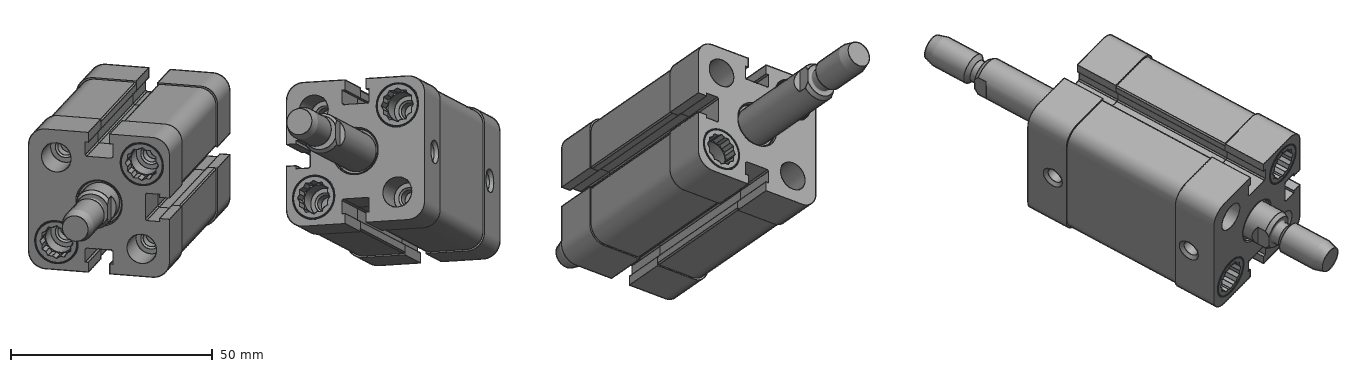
import cadquery as cq
import math


OVERALL_LENGTH = 122.1

CAP_SIDE = 36.3
CAP_LENGTH = 11.8
TUBE_LENGTH = 33.5
TUBE_INSET = 0.4
CORNER_RADIUS = 4.4
CAP_WALL = CAP_SIDE / 2
TUBE_SIDE = CAP_SIDE - 2 * TUBE_INSET
HOUSING_LENGTH = 2 * CAP_LENGTH + TUBE_LENGTH

SLOT_MOUTH_WIDTH = 5.5
SLOT_WIDTH = 7.1
SLOT_LIP = 2.6
SLOT_DEPTH = 6.2
SLOT_CORNER_CHAMFER = 0.4
TUBE_MOUTH_CHAMFER = 0.4
SLOT_ANGLES = (0, 90, 180)

CORNER_OFFSET = 11.0
PLAIN_HOLE_DIAMETER = 7.6
CORNER_HOLE_DEPTH = 8.5
HEAD_DIAMETER = 10.9
HEAD_RIM_DIAMETER = 10.5
HEAD_HOLE_DIAMETER = 11.1
HEAD_GAP_DEPTH = 0.7
SOCKET_ACROSS_FLATS = 7.3
SOCKET_DEPTH = 3.7
SCREW_BORE_DIAMETER = 7.5
CORE_DIAMETER = 4.2
CORE_RIM_DIAMETER = 5.1

PORT_DIAMETER = 4.2
PORT_RIM_DIAMETER = 5.9
PORT_FROM_FACE = 7.7

ROD_DIAMETER = 10.0
FRONT_REACH = 22.5
REAR_REACH = OVERALL_LENGTH - HOUSING_LENGTH - FRONT_REACH
SHOULDER_TO_TIP = 15.9
SHOULDER_BEVEL_LENGTH = 1.1
SHOULDER_BEVEL_DROP = 0.7
NECK_DIAMETER = 5.9
NECK_FILLET = 0.4
THREAD_DIAMETER = 8.0
THREAD_TO_TIP = 12.6
TIP_LENGTH = 2.7
TIP_DIAMETER = 6.6
FLAT_SPAN = 7.9
FLAT_LENGTH = 3.4

RECESS_DIAMETER = 11.4
RECESS_RIM_DIAMETER = 12.0
RECESS_DEPTH = 1.2


def revolve_about_y(profile):
    """Solid of revolution about the Y axis from (radius, y) points."""
    return cq.Workplane("XY").polyline(profile).close().revolve(360, (0, 0, 0), (0, 1, 0))


def flared_hole(diameter, rim_diameter, depth):
    """Hole cutter from Y = 0 along +Y with a 45 degree flare at its mouth."""
    radius = diameter / 2
    rim_radius = rim_diameter / 2
    flare = rim_radius - radius
    return revolve_about_y([(0, 0), (rim_radius, 0), (radius, flare), (radius, depth), (0, depth)])


def straight_hole(diameter, depth):
    """Hole cutter from Y = 0 along +Y."""
    return cq.Workplane("XZ").circle(diameter / 2).extrude(-depth)


def rounded_bar(side, length):
    """Square bar from Y = 0 along +Y with its four long edges rounded."""
    return cq.Workplane("XZ").rect(side, side).extrude(-length).edges("|Y").fillet(CORNER_RADIUS)


def slot_cutter(length):
    """T-slot cutter for the top wall, with bevelled floor corners."""
    floor = CAP_WALL - SLOT_DEPTH
    lip = CAP_WALL - SLOT_LIP
    half_mouth = SLOT_MOUTH_WIDTH / 2
    half_width = SLOT_WIDTH / 2
    right_side = [
        (half_mouth, CAP_WALL),
        (half_mouth, lip),
        (half_width, lip),
        (half_width, floor + SLOT_CORNER_CHAMFER),
        (half_width - SLOT_CORNER_CHAMFER, floor),
    ]
    left_side = [(-x, z) for x, z in reversed(right_side)]
    return cq.Workplane("XZ").polyline(right_side + left_side).close().extrude(-length)


def mouth_bevel_cutter(length):
    """Cutter that bevels both edges of the slot mouth in the top wall of the tube."""
    top = TUBE_SIDE / 2
    bottom = top - TUBE_MOUTH_CHAMFER
    half_bottom = SLOT_MOUTH_WIDTH / 2
    half_top = half_bottom + TUBE_MOUTH_CHAMFER
    outline = [(-half_top, top), (half_top, top), (half_bottom, bottom), (-half_bottom, bottom)]
    return cq.Workplane("XZ").polyline(outline).close().extrude(-length)


def cut_on_slot_walls(body, cutter):
    """Apply a top wall cutter to every wall that has a sensor slot."""
    for angle in SLOT_ANGLES:
        body = body.cut(cutter.rotate((0, 0, 0), (0, 1, 0), angle))
    return body


def corner_hole(diameter):
    """Corner hole that narrows to a core hole running on to the inner cap face."""
    core = flared_hole(CORE_DIAMETER, CORE_RIM_DIAMETER, CAP_LENGTH - CORNER_HOLE_DEPTH)
    return straight_hole(diameter, CORNER_HOLE_DEPTH).union(core.translate((0, CORNER_HOLE_DEPTH, 0)))


def twelve_point_socket():
    """Socket cutter made of two hexagons, one of them turned by 30 degrees."""
    across_corners = SOCKET_ACROSS_FLATS / math.cos(math.radians(30))
    hexagon = cq.Workplane("XZ").polygon(6, across_corners).extrude(-SOCKET_DEPTH)
    return hexagon.union(hexagon.rotate((0, 0, 0), (0, 1, 0), 30))


def screw_head():
    """Cutter for a flush screw head: bevelled rim with a thin gap around it, socket and bore."""
    rim_radius = HEAD_RIM_DIAMETER / 2
    head_radius = HEAD_DIAMETER / 2
    hole_radius = HEAD_HOLE_DIAMETER / 2
    rim_gap = revolve_about_y([
        (rim_radius, 0),
        (hole_radius, 0),
        (hole_radius, HEAD_GAP_DEPTH),
        (head_radius, HEAD_GAP_DEPTH),
        (head_radius, head_radius - rim_radius),
    ])
    return corner_hole(SCREW_BORE_DIAMETER).union(twelve_point_socket()).union(rim_gap)


def air_port():
    """Port from the -X wall to the rod axis."""
    port = flared_hole(PORT_DIAMETER, PORT_RIM_DIAMETER, CAP_WALL)
    return port.rotate((0, 0, 0), (0, 0, 1), -90).translate((-CAP_WALL, PORT_FROM_FACE, 0))


def end_cap():
    """End cap with its outer face at Y = 0; the screw heads lie on one diagonal."""
    cap = cut_on_slot_walls(rounded_bar(CAP_SIDE, CAP_LENGTH), slot_cutter(CAP_LENGTH))
    cap = cap.cut(straight_hole(ROD_DIAMETER, CAP_LENGTH))
    cap = cap.cut(flared_hole(RECESS_DIAMETER, RECESS_RIM_DIAMETER, RECESS_DEPTH))
    for side in (-1, 1):
        offset = side * CORNER_OFFSET
        cap = cap.cut(screw_head().translate((offset, 0, offset)))
        cap = cap.cut(corner_hole(PLAIN_HOLE_DIAMETER).translate((offset, 0, -offset)))
    return cap.cut(air_port())


def tube():
    """Slotted tube between the caps, bored for the rods."""
    body = cut_on_slot_walls(rounded_bar(TUBE_SIDE, TUBE_LENGTH), slot_cutter(TUBE_LENGTH))
    body = cut_on_slot_walls(body, mouth_bevel_cutter(TUBE_LENGTH))
    body = body.cut(straight_hole(ROD_DIAMETER, TUBE_LENGTH))
    return body.translate((0, CAP_LENGTH, 0))


def wrench_flat():
    """Cutter for the +X wrench flat, from the shoulder at Y = 0 with a 45 degree run-out."""
    inside = FLAT_SPAN / 2
    outside = ROD_DIAMETER / 2
    run_out = FLAT_LENGTH + outside - inside
    outline = [(inside, 0), (outside, 0), (outside, run_out), (inside, FLAT_LENGTH)]
    return cq.Workplane("XY").polyline(outline).close().extrude(ROD_DIAMETER / 2, both=True)


def rod(length):
    """Rod with its threaded tip at Y = 0, running along +Y."""
    rod_radius = ROD_DIAMETER / 2
    neck_radius = NECK_DIAMETER / 2
    thread_radius = THREAD_DIAMETER / 2
    neck_start = THREAD_TO_TIP + thread_radius - neck_radius
    body = (
        cq.Workplane("XY")
        .lineTo(TIP_DIAMETER / 2, 0)
        .lineTo(thread_radius, TIP_LENGTH)
        .lineTo(thread_radius, THREAD_TO_TIP)
        .lineTo(neck_radius, neck_start)
        .lineTo(neck_radius, SHOULDER_TO_TIP - NECK_FILLET)
        .radiusArc((neck_radius + NECK_FILLET, SHOULDER_TO_TIP), NECK_FILLET)
        .lineTo(rod_radius - SHOULDER_BEVEL_DROP, SHOULDER_TO_TIP)
        .lineTo(rod_radius, SHOULDER_TO_TIP + SHOULDER_BEVEL_LENGTH)
        .lineTo(rod_radius, length)
        .lineTo(0, length)
        .close()
        .revolve(360, (0, 0, 0), (0, 1, 0))
    )
    flat = wrench_flat().translate((0, SHOULDER_TO_TIP, 0))
    return body.cut(flat).cut(flat.mirror("YZ"))


def turned_to_rear(body):
    """Turn a front part half a turn about X so that it faces the rear of the housing."""
    return body.rotate((0, 0, 0), (1, 0, 0), 180).translate((0, HOUSING_LENGTH, 0))


half_housing = HOUSING_LENGTH / 2
front_cap = end_cap()
rear_cap = turned_to_rear(end_cap())
cylinder_tube = tube()
front_rod = rod(FRONT_REACH + half_housing).translate((0, -FRONT_REACH, 0))
rear_rod = turned_to_rear(rod(REAR_REACH + half_housing).translate((0, -REAR_REACH, 0)))

result = cq.Compound.makeCompound([
    front_cap.val(),
    cylinder_tube.val(),
    rear_cap.val(),
    front_rod.val(),
    rear_rod.val(),
])